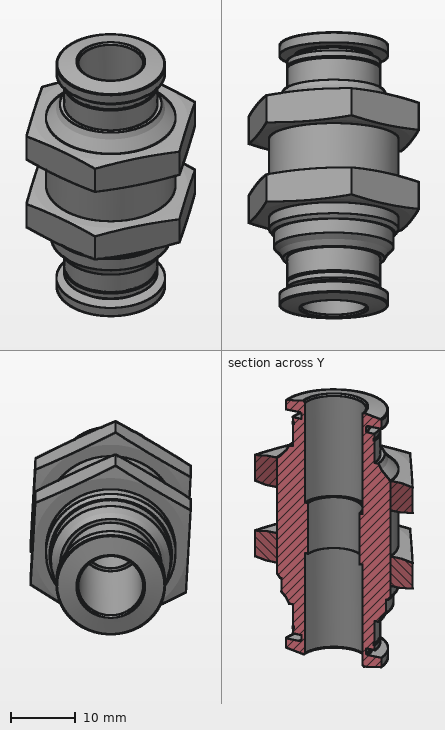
import cadquery as cq
import math

total_height = 42.4

passage_diameter = 9.0
socket_diameter = 10.0
socket_depth = 16.95
mouth_diameter = 10.6
mouth_depth = 0.3

flange_diameter = 16.8
flange_crown_height = 0.5
flange_edge_chamfer = 0.13
flange_height = 2.15
neck_diameter = 11.4
root_diameter = 12.0
root_height = 0.15
neck_end = 3.15

sleeve_diameter = 14.4
ring_end = 4.03
groove_width = 0.25
groove_depth = 0.2
sleeve_end = 7.95

shoulder_tip_diameter = 15.7
shoulder_break_diameter = 16.8
shoulder_break_height = 8.9
barrel_diameter = 20.0
land_diameter = 18.5
land_end = 11.95
barrel_chamfer_diameter = 18.9
barrel_chamfer_end = 12.65

nut_sides = 6
nut_across_flats = 24.0
nut_height = 5.0
nut_face_diameter = 23.75
nut_chamfer_angle = 10.0
nut_base_heights = (14.37, 26.95)


def end_outline():
    """Outer (radius, distance from end face) points shared by both ends, starting at the mouth."""
    flange_radius = flange_diameter / 2
    sleeve_radius = sleeve_diameter / 2
    groove_radius = sleeve_radius - groove_depth
    return [
        (mouth_diameter / 2, 0),
        (flange_radius - flange_edge_chamfer, flange_crown_height),
        (flange_radius, flange_crown_height + flange_edge_chamfer),
        (flange_radius, flange_height),
        (root_diameter / 2, flange_height),
        (neck_diameter / 2, flange_height + root_height),
        (neck_diameter / 2, neck_end),
        (sleeve_radius, neck_end),
        (sleeve_radius, ring_end),
        (groove_radius, ring_end),
        (groove_radius, ring_end + groove_width),
        (sleeve_radius, ring_end + groove_width),
        (sleeve_radius, sleeve_end),
        (shoulder_tip_diameter / 2, sleeve_end),
        (shoulder_break_diameter / 2, shoulder_break_height),
    ]


def bore_outline():
    """Bore (radius, distance from end face) points from the tube stop out to the mouth."""
    return [
        (passage_diameter / 2, socket_depth),
        (socket_diameter / 2, socket_depth),
        (socket_diameter / 2, mouth_depth),
    ]


def from_top(points):
    """Turn distances below the top face into heights."""
    return [(radius, total_height - depth) for radius, depth in points]


def shoulder_end(diameter):
    """Distance from the end face at which the 45 degree shoulder reaches a diameter."""
    return shoulder_break_height + (diameter - shoulder_break_diameter) / 2


def make_fitting():
    """Revolved body with its end sleeves, threaded barrel and stepped bore."""
    barrel_radius = barrel_diameter / 2
    land_radius = land_diameter / 2
    lower_steps = [
        (land_radius, shoulder_end(land_diameter)),
        (land_radius, land_end),
        (barrel_chamfer_diameter / 2, land_end),
        (barrel_radius, barrel_chamfer_end),
    ]
    upper_shoulder = from_top([(barrel_radius, shoulder_end(barrel_diameter))])
    outline = (
        bore_outline()
        + end_outline()
        + lower_steps
        + upper_shoulder
        + from_top(end_outline())[::-1]
        + from_top(bore_outline())[::-1]
    )
    return cq.Workplane("XZ").polyline(outline).close().revolve(360, (0, 0), (0, 1))


def make_nut(base_height):
    """Hexagonal nut with its corners chamfered on both faces and a bore fitting the barrel."""
    corner_diameter = nut_across_flats / math.cos(math.pi / nut_sides)
    corner_radius = corner_diameter / 2
    face_radius = nut_face_diameter / 2
    chamfer_drop = (corner_radius - face_radius) * math.tan(math.radians(nut_chamfer_angle))
    hexagon = cq.Workplane("XY").polygon(nut_sides, corner_diameter).extrude(nut_height)
    chamfer_envelope = (
        cq.Workplane("XZ")
        .polyline([
            (0, 0),
            (face_radius, 0),
            (corner_radius, chamfer_drop),
            (corner_radius, nut_height - chamfer_drop),
            (face_radius, nut_height),
            (0, nut_height),
        ])
        .close()
        .revolve(360, (0, 0), (0, 1))
    )
    bore = cq.Workplane("XY").circle(barrel_diameter / 2).extrude(nut_height)
    return hexagon.intersect(chamfer_envelope).cut(bore).translate((0, 0, base_height))


fitting = make_fitting()
nuts = [make_nut(base_height) for base_height in nut_base_heights]

result = cq.Compound.makeCompound([fitting.val(), *[nut.val() for nut in nuts]])